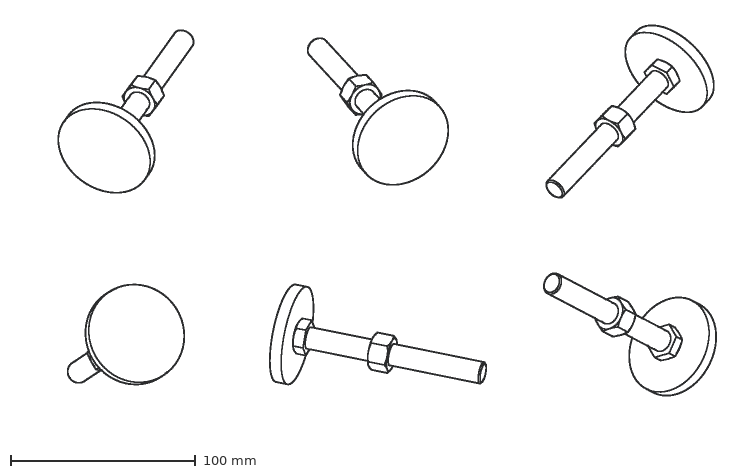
import cadquery as cq
import math

total_length = 113.0
pad_diameter = 54.0
pad_thickness = 6.5
rod_diameter = 12.0
rod_chamfer = 0.8
collar_across_flats = 17.0
collar_thickness = 6.5
collar_face_diameter = 15.6
nut_across_flats = 18.0
nut_thickness = 10.8
nut_start = 49.8
hex_chamfer_angle = 30.0

collar_end = pad_thickness + collar_thickness


def cylinder(diameter, start, length):
    """Round bar along +Y, beginning at y = start."""
    return cq.Workplane("XZ", origin=(0, start, 0)).circle(diameter / 2).extrude(-length)


def hexagon(across_flats, face_diameter, start, length, chamfer_far_end):
    """Hexagonal bar along +Y with corners on X and chamfered corners at one or both ends.

    The chamfer cone meets the end face in a circle of face_diameter.
    """
    corner_radius = across_flats / 2 / math.cos(math.radians(30))
    face_radius = face_diameter / 2
    chamfer_depth = (corner_radius - face_radius) * math.tan(math.radians(hex_chamfer_angle))
    end = start + length
    prism = (
        cq.Workplane("XZ", origin=(0, start, 0))
        .polygon(6, 2 * corner_radius)
        .extrude(-length)
    )
    envelope = (
        cq.Workplane("XY")
        .moveTo(0, start)
        .lineTo(face_radius, start)
        .lineTo(corner_radius, start + chamfer_depth)
    )
    if chamfer_far_end:
        envelope = envelope.lineTo(corner_radius, end - chamfer_depth).lineTo(face_radius, end)
    else:
        envelope = envelope.lineTo(corner_radius, end)
    envelope = envelope.lineTo(0, end).close().revolve(360, (0, 0, 0), (0, 1, 0))
    return prism.intersect(envelope)


def make_pad():
    """Plain round foot pad."""
    return cylinder(pad_diameter, 0, pad_thickness)


def make_stud():
    """Rod with a chamfered tip and a hexagonal collar that rests on the pad."""
    rod = cylinder(rod_diameter, collar_end, total_length - collar_end)
    rod = rod.faces(">Y").chamfer(rod_chamfer)
    collar = hexagon(
        collar_across_flats, collar_face_diameter, pad_thickness, collar_thickness, chamfer_far_end=False
    )
    return collar.union(rod)


def make_nut():
    """Hexagonal lock nut, bored to fit the rod."""
    blank = hexagon(
        nut_across_flats, nut_across_flats, nut_start, nut_thickness, chamfer_far_end=True
    )
    return blank.cut(cylinder(rod_diameter, nut_start, nut_thickness))


pad = make_pad()
stud = make_stud()
nut = make_nut()

result = cq.Compound.makeCompound([pad.val(), stud.val(), nut.val()])